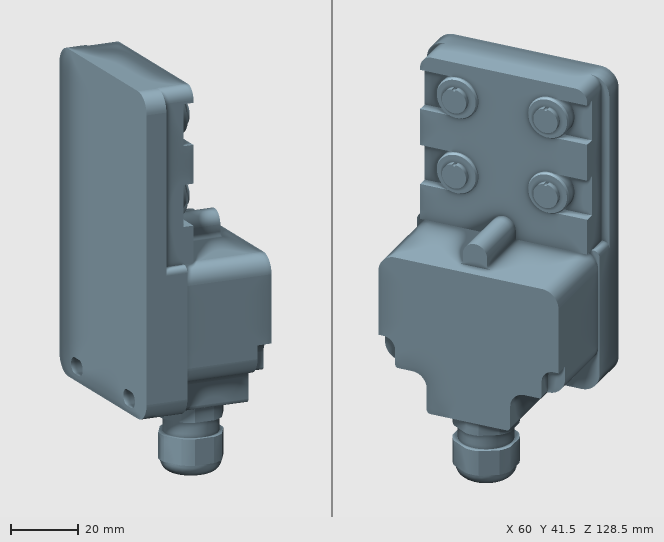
import cadquery as cq

plate_width = 60.0
plate_height = 102.2
plate_corner_radius = 5.9
plate_thickness = 6.5
step_height = 47.3
step_depth = 13.5
step_corner_radius = 1.9

panel_width = 55.0
panel_depth = 16.7
panel_corner_radius = 4.0

slot_spacing = 36
slot_length = 8.0
slot_width = 5.0
slot_height = 4.6

box_width = 59.2
box_top = 46.6
box_bottom = 9.8
box_depth = 41.5
box_corner_radius = 5.5

neck_width = 27.5
neck_bottom = -3.3
neck_blend_radius = 4.8
neck_corner_radius = 1.3

recess_width = box_corner_radius
recess_top = 19.5
recess_depth = 4.6
recess_blend_radius = 4.0
recess_edge_radius = 0.9

selection_margin = 0.1

rib_radius = 4.0
rib_depth = 36.9
rib_center_height = 50.2
rib_blend_radius = 1.3

button_spacing_x = 30.1
upper_button_height = 90.7
button_spacing_z = 25.2
pocket_width = 13.1
body_diameter = 13.5
body_depth = 17.9
body_chamfer_depth = 0.6
body_chamfer_inset = 0.4
head_diameter = 8.0
head_depth = 19.5
groove_diameter = 1.2

gland_y = 29.0
overall_height = 128.5
gland_bottom = plate_height - overall_height
hex_across_flats = 19.0
hex_corner_diameter = 20.0
upper_nut_top = -3.6
upper_nut_bottom = -8.7
lower_nut_top = -13.9
lower_nut_bottom = -22.1
stem_diameter = 17.0
dome_diameter = 18.5
dome_end_diameter = 10.9


def block(width, y_start, y_end, z_start, z_end):
    """Box centred on X."""
    size = (width, y_end - y_start, z_end - z_start)
    return cq.Workplane().box(*size, centered=(True, False, False)).translate((0, y_start, z_start))


def cylinder_along_y(diameter, y_start, y_end, x, z):
    start = cq.Vector(x, y_start, z)
    return cq.Workplane(cq.Solid.makeCylinder(diameter / 2, y_end - y_start, start, cq.Vector(0, 1, 0)))


def cylinder_along_z(diameter, z_start, z_end):
    start = cq.Vector(0, gland_y, z_start)
    return cq.Workplane(cq.Solid.makeCylinder(diameter / 2, z_end - z_start, start))


def make_plate():
    plate = block(plate_width, 0, plate_thickness, 0, plate_height).edges("|Y").fillet(plate_corner_radius)
    step = block(plate_width, 0, step_depth, 0, step_height)
    step = step.edges("|Y and >Z").fillet(step_corner_radius)
    step = step.edges("|Y and <Z").fillet(plate_corner_radius)
    panel = block(panel_width, 0, panel_depth, step_height, plate_height)
    panel = panel.edges("|Y and >Z").fillet(panel_corner_radius)
    panel = panel.cut(block(panel_width, 0, plate_thickness, step_height, plate_height))
    return plate.union(step).union(panel)


def box_underside_edges(x_start, x_end, y_start):
    """Selector for edges on the underside of the terminal box, from y_start to its rear face."""
    return cq.selectors.BoxSelector(
        (x_start - selection_margin, y_start - selection_margin, box_bottom - selection_margin),
        (x_end + selection_margin, box_depth + selection_margin, box_bottom + selection_margin),
    )


def make_terminal_box():
    box = block(box_width, step_depth, box_depth, box_bottom, box_top)
    box = box.edges("|Y").fillet(box_corner_radius)
    neck = block(neck_width, step_depth, box_depth, neck_bottom, box_top)
    neck = neck.edges("|Y and <Z").fillet(neck_corner_radius)
    box = box.union(neck)
    half = neck_width / 2
    return box.edges(box_underside_edges(-half, half, step_depth)).edges("|Y").fillet(neck_blend_radius)


def cut_corner_recesses(box):
    wall_x = box_width / 2 - recess_width
    for side in (-1, 1):
        recess = block(2 * recess_width, box_depth - recess_depth, box_depth, 0, recess_top)
        recess = recess.translate((side * (wall_x + recess_width), 0, 0))
        inner_edge = "|Y and >Z and " + ("<X" if side > 0 else ">X")
        box = box.cut(recess.edges(inner_edge).fillet(recess_blend_radius))
        lower_edge = box_underside_edges(side * wall_x, side * wall_x, box_depth - recess_depth)
        box = box.edges(lower_edge).edges("|Y").fillet(recess_edge_radius)
    return box


def make_rib():
    """Rib whose foot flares out onto the top of the terminal box."""
    foot_half = rib_radius + rib_blend_radius
    flare_top = box_top + rib_blend_radius
    profile = (
        cq.Workplane("XZ", origin=(0, rib_depth, 0))
        .moveTo(-foot_half, box_top)
        .radiusArc((-rib_radius, flare_top), -rib_blend_radius)
        .lineTo(-rib_radius, rib_center_height)
        .threePointArc((0, rib_center_height + rib_radius), (rib_radius, rib_center_height))
        .lineTo(rib_radius, flare_top)
        .radiusArc((foot_half, box_top), -rib_blend_radius)
        .close()
    )
    return profile.extrude(rib_depth - step_depth)


def make_button(x, z):
    """Chamfered round body with a smaller head that has a round groove in its upper side."""
    body = cylinder_along_y(body_diameter, step_depth, body_depth, x, z)
    body = body.faces(">Y").edges().chamfer(body_chamfer_depth, body_chamfer_inset)
    head = cylinder_along_y(head_diameter, body_depth, head_depth, x, z)
    groove = cylinder_along_y(groove_diameter, body_depth, head_depth, x, z + head_diameter / 2)
    return body.union(head.cut(groove))


def add_button(part, side, z):
    """Button standing in a pocket that opens to the side of the panel."""
    x = side * button_spacing_x / 2
    pocket_length = plate_width / 2 - button_spacing_x / 2
    pocket = block(pocket_length, step_depth, panel_depth, z - pocket_width / 2, z + pocket_width / 2)
    part = part.cut(pocket.translate((x + side * pocket_length / 2, 0, 0)))
    return part.union(make_button(x, z))


def make_hex_nut(z_start, z_end):
    """Hexagonal nut with two flats facing X and rounded corners."""
    hexagon = (
        cq.Workplane("XY", origin=(0, gland_y, z_start))
        .polygon(6, hex_across_flats, circumscribed=True)
        .extrude(z_end - z_start)
    )
    return hexagon.intersect(cylinder_along_z(hex_corner_diameter, z_start, z_end))


def make_gland():
    dome_radius = (dome_diameter - dome_end_diameter) / 2
    dome = cylinder_along_z(dome_diameter, gland_bottom, lower_nut_bottom)
    gland = dome.faces("<Z").edges().fillet(dome_radius)
    gland = gland.union(make_hex_nut(lower_nut_bottom, lower_nut_top))
    gland = gland.union(cylinder_along_z(stem_diameter, lower_nut_top, neck_bottom))
    return gland.union(make_hex_nut(upper_nut_bottom, upper_nut_top))


def cut_mounting_slots(part):
    slots = (
        cq.Workplane("XZ")
        .pushPoints([(-slot_spacing / 2, slot_height), (slot_spacing / 2, slot_height)])
        .slot2D(slot_length, slot_width)
        .extrude(-step_depth)
    )
    return part.cut(slots)


result = cut_mounting_slots(make_plate())
result = result.union(cut_corner_recesses(make_terminal_box()))
result = result.union(make_rib())
for button_side in (-1, 1):
    for button_z in (upper_button_height, upper_button_height - button_spacing_z):
        result = add_button(result, button_side, button_z)
result = result.union(make_gland())